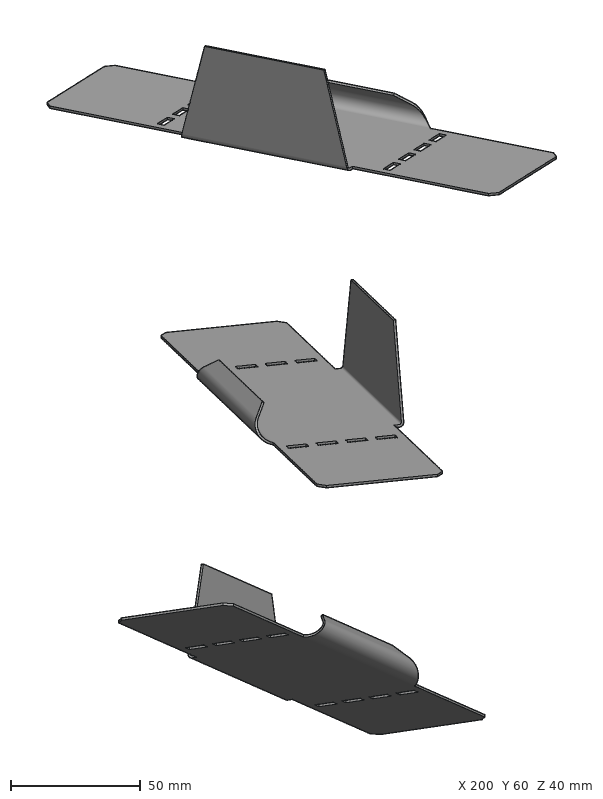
import cadquery as cq
import math

thickness = 1.0
plate_length = 200.0
plate_width = 51.0
corner_chamfer = 3.0

slot_width = 3.0
slot_length = 8.0
slot_pitch = 12.0
slots_per_row = 4
row_spacing = 100.0

total_height = 40.0
flange_overhang = 4.0
flange_bend_radius = 2.0
flange_base_width = 74.0
flange_top_width = 52.8

hook_bend_radius = 5.0
hook_bend_angle = 135.0
hook_lip_length = 6.0
hook_base_width = 85.5
hook_tip_width = 54.0

hook_arc_length = (hook_bend_radius - thickness / 2) * math.radians(hook_bend_angle)
hook_taper = (hook_base_width - hook_tip_width) / 2 / (hook_arc_length + hook_lip_length)
bend_inset = hook_taper * hook_arc_length
lip_root_width = hook_base_width - 2 * bend_inset


def base_plate():
    plate = (
        cq.Workplane("XY")
        .rect(plate_length, plate_width)
        .extrude(thickness)
        .edges("|Z")
        .chamfer(corner_chamfer)
    )
    slots = (
        cq.Workplane("XY")
        .rarray(row_spacing, slot_pitch, 2, slots_per_row)
        .rect(slot_width, slot_length)
        .extrude(thickness)
    )
    return plate.cut(slots)


def flange():
    outer_y = -plate_width / 2 - flange_overhang
    inner_y = outer_y + thickness
    bend_y = outer_y + flange_bend_radius
    inner_radius = flange_bend_radius - thickness
    diagonal = math.sqrt(0.5)
    folded_strip = (
        cq.Workplane("YZ")
        .moveTo(-plate_width / 2, 0)
        .lineTo(bend_y, 0)
        .threePointArc(
            (bend_y - flange_bend_radius * diagonal, flange_bend_radius * (1 - diagonal)),
            (outer_y, flange_bend_radius),
        )
        .lineTo(outer_y, total_height)
        .lineTo(inner_y, total_height)
        .lineTo(inner_y, flange_bend_radius)
        .threePointArc(
            (bend_y - inner_radius * diagonal, flange_bend_radius - inner_radius * diagonal),
            (bend_y, thickness),
        )
        .lineTo(-plate_width / 2, thickness)
        .close()
        .extrude(flange_base_width / 2, both=True)
    )
    tapered_outline = (
        cq.Workplane("XZ")
        .polyline([
            (-flange_base_width / 2, 0),
            (flange_base_width / 2, 0),
            (flange_top_width / 2, total_height),
            (-flange_top_width / 2, total_height),
        ])
        .close()
        .extrude(-outer_y)
    )
    return folded_strip.intersect(tapered_outline)


def bend_point(radius, angle):
    """Point about the bend axis, with the angle measured from the base plate."""
    turn = math.radians(angle)
    return (radius * math.sin(turn), -radius * math.cos(turn))


def hook_bend(axis):
    inner_radius = hook_bend_radius - thickness
    middle = hook_bend_angle / 2
    bend = (
        cq.Workplane("YZ", origin=axis)
        .moveTo(*bend_point(inner_radius, 0))
        .lineTo(*bend_point(hook_bend_radius, 0))
        .threePointArc(
            bend_point(hook_bend_radius, middle),
            bend_point(hook_bend_radius, hook_bend_angle),
        )
        .lineTo(*bend_point(inner_radius, hook_bend_angle))
        .threePointArc(bend_point(inner_radius, middle), bend_point(inner_radius, 0))
        .close()
        .extrude(hook_base_width / 2, both=True)
    )
    cutter_radius = 2 * hook_bend_radius
    trim = (
        cq.Workplane("YZ", origin=(-hook_base_width / 2, axis[1], axis[2]))
        .lineTo(*bend_point(cutter_radius, 0))
        .threePointArc(
            bend_point(cutter_radius, middle),
            bend_point(cutter_radius, hook_bend_angle),
        )
        .close()
        .twistExtrude(bend_inset, hook_bend_angle)
    )
    return bend.cut(trim).cut(trim.mirror("YZ"))


def hook_lip(axis):
    root_y, root_z = bend_point(hook_bend_radius, hook_bend_angle)
    outward = bend_point(1, hook_bend_angle)
    lip_plane = cq.Plane(
        origin=(0, axis[1] + root_y, axis[2] + root_z),
        xDir=(1, 0, 0),
        normal=(0, -outward[0], -outward[1]),
    )
    return (
        cq.Workplane(lip_plane)
        .polyline([
            (-lip_root_width / 2, 0),
            (lip_root_width / 2, 0),
            (hook_tip_width / 2, hook_lip_length),
            (-hook_tip_width / 2, hook_lip_length),
        ])
        .close()
        .extrude(thickness)
    )


hook_axis = (0, plate_width / 2, hook_bend_radius)
result = base_plate().union(flange()).union(hook_bend(hook_axis)).union(hook_lip(hook_axis))